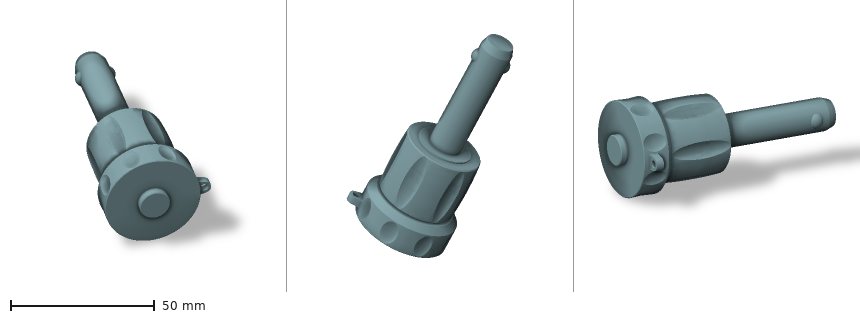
import math

import cadquery as cq


tip_length = 3.1
ball_x = 8.1
collar_start = 45.5
handle_start = 46.1
handle_end = 69.6
cap_start = 70.1
cap_rim_start = 72.5
cap_end = 82.35
total_length = 85.1
handle_middle = (handle_start + handle_end) / 2
cap_rim_middle = (cap_rim_start + cap_end) / 2

shank_radius = 6.0
tip_radius = 4.9
collar_radius = 10.0
handle_end_radius = 14.05
handle_crown_radius = 14.55
neck_radius = 13.0
cap_front_radius = 14.75
cap_radius = 17.3
button_radius = 5.5

handle_edge = 0.35
cap_edge = 0.25
button_edge = 0.3

ball_radius = 2.9
ball_reach = 7.25

flute_count = 6
flute_first_angle = 180.0
flute_half_length = 11.7
flute_floor_radius = 12.75
flute_cutter_radius = 4.3

dimple_count = 8
dimple_first_angle = 180.0 / dimple_count
dimple_half_length = 4.47
dimple_floor_radius = 16.05
dimple_cutter_radius = 5.75

tab_start = 76.95
tab_thickness = 2.8
tab_reach = 21.79
tab_end_radius = 2.4
tab_hole_radius = 1.4
tab_eye_y = tab_reach - tab_end_radius
tab_flare_angle = math.radians(12.0)
tab_embed = 1.0
tab_root = cap_radius - tab_embed
tab_base_fillet = 0.5


def make_turned_body():
    """Revolve the shank, collar, handle, neck, cap and button as one profile about X."""
    profile = (
        cq.Workplane("XY")
        .moveTo(0, 0)
        .lineTo(0, tip_radius)
        .lineTo(tip_length, shank_radius)
        .lineTo(collar_start, shank_radius)
        .lineTo(collar_start, collar_radius)
        .lineTo(handle_start, collar_radius)
        .lineTo(handle_start, handle_end_radius - handle_edge)
        .lineTo(handle_start + handle_edge, handle_end_radius)
        .threePointArc(
            (handle_middle, handle_crown_radius),
            (handle_end - handle_edge, handle_end_radius),
        )
        .lineTo(handle_end, handle_end_radius - handle_edge)
        .lineTo(handle_end, neck_radius)
        .lineTo(cap_start, neck_radius)
        .lineTo(cap_start, cap_front_radius)
        .lineTo(cap_rim_start, cap_radius)
        .lineTo(cap_end - cap_edge, cap_radius)
        .lineTo(cap_end, cap_radius - cap_edge)
        .lineTo(cap_end, button_radius)
        .lineTo(total_length - button_edge, button_radius)
        .lineTo(total_length, button_radius - button_edge)
        .lineTo(total_length, 0)
        .close()
    )
    return profile.revolve(360, (0, 0, 0), (1, 0, 0))


def make_lanyard_tab():
    """Rounded eye whose straight sides flare out towards the cap."""
    tangent_y = tab_eye_y + tab_end_radius * math.sin(tab_flare_angle)
    tangent_z = tab_end_radius * math.cos(tab_flare_angle)
    root_z = tangent_z + (tangent_y - tab_root) * math.tan(tab_flare_angle)
    return (
        cq.Workplane("YZ", origin=(tab_start, 0, 0))
        .moveTo(tab_root, -root_z)
        .lineTo(tangent_y, -tangent_z)
        .threePointArc((tab_reach, 0), (tangent_y, tangent_z))
        .lineTo(tab_root, root_z)
        .close()
        .extrude(tab_thickness)
    )


def make_tab_hole():
    """Round bore through the middle of the tab's eye."""
    return (
        cq.Workplane("YZ", origin=(tab_start, tab_eye_y, 0))
        .circle(tab_hole_radius)
        .extrude(tab_thickness)
    )


def add_tab(body):
    """Join the tab to the cap, round its base and drill the eye."""
    joined = body.union(make_lanyard_tab())
    base_margin = 0.3
    base_half_height = 4.0
    base_edges = cq.selectors.BoxSelector(
        (tab_start - base_margin, tab_root, -base_half_height),
        (tab_start + tab_thickness + base_margin, cap_radius + base_margin, base_half_height),
    )
    return joined.edges(base_edges).fillet(tab_base_fillet).cut(make_tab_hole())


def make_barrel_cutter(middle_x, half_length, floor_radius, cutter_radius, outer_radius):
    """Barrel-shaped cutter beside the +Y side of the part, turned about a line parallel to X.

    It sinks to floor_radius at its middle and runs out at outer_radius at both ends.
    """
    axis_y = floor_radius + cutter_radius
    start_x = middle_x - half_length
    end_x = middle_x + half_length
    return (
        cq.Workplane("XY")
        .moveTo(start_x, axis_y)
        .lineTo(start_x, outer_radius)
        .threePointArc((middle_x, floor_radius), (end_x, outer_radius))
        .lineTo(end_x, axis_y)
        .close()
        .revolve(360, (start_x, axis_y, 0), (end_x, axis_y, 0))
    )


def cut_around(body, cutter, count, first_angle):
    """Cut evenly spaced copies of the cutter around the X axis."""
    for index in range(count):
        angle = first_angle + index * 360.0 / count
        body = body.cut(cutter.rotate((0, 0, 0), (1, 0, 0), angle))
    return body


def add_locking_balls(body):
    """Join the two opposite balls that stand out of the shank."""
    for side in (-1, 1):
        ball_y = side * (ball_reach - ball_radius)
        ball = cq.Workplane("XY").sphere(ball_radius).translate((ball_x, ball_y, 0))
        body = body.union(ball)
    return body


flute_cutter = make_barrel_cutter(
    handle_middle,
    flute_half_length,
    flute_floor_radius,
    flute_cutter_radius,
    handle_end_radius,
)
dimple_cutter = make_barrel_cutter(
    cap_rim_middle,
    dimple_half_length,
    dimple_floor_radius,
    dimple_cutter_radius,
    cap_radius,
)

result = add_tab(make_turned_body())
result = cut_around(result, flute_cutter, flute_count, flute_first_angle)
result = cut_around(result, dimple_cutter, dimple_count, dimple_first_angle)
result = add_locking_balls(result)